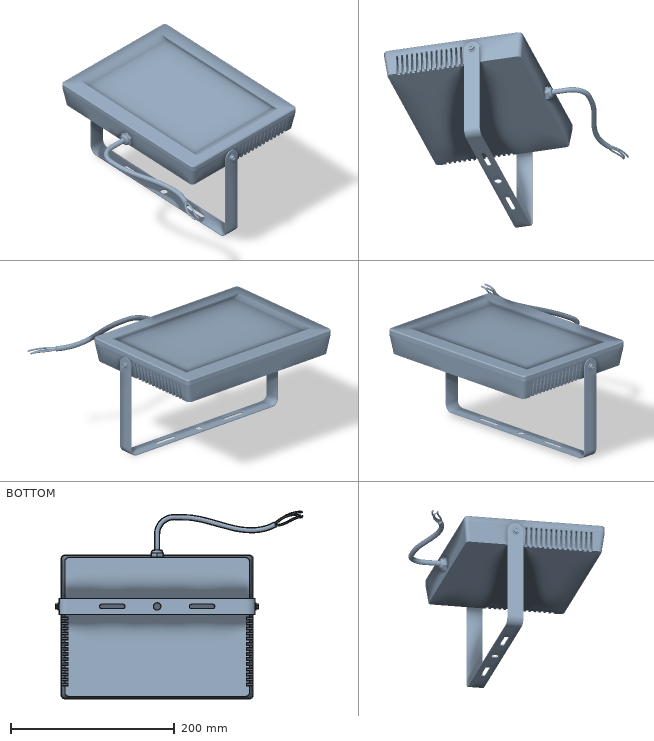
import cadquery as cq
import math


LAMP_LENGTH = 235.5
LAMP_WIDTH = 176.0
LAMP_TOP = 136.5
LID_HEIGHT = 7.0
TUB_HEIGHT = 25.0
TUB_TAPER_X = 4.5
TUB_TAPER_Y = 3.0
CORNER_RADIUS = 4.8
RIM_CHAMFER = 1.2
ROOT_DEPTH = 6.0
LID_BOTTOM = LAMP_TOP - LID_HEIGHT
TUB_BOTTOM = LID_BOTTOM - TUB_HEIGHT

WINDOW_LENGTH = 207.0
WINDOW_WIDTH = 136.0
WINDOW_DEPTH = 3.5
WINDOW_SLOPE_RUN = 9.0

GROOVE_COUNT = 14
GROOVE_ROW_LENGTH = 81.2
GROOVE_PITCH = GROOVE_ROW_LENGTH / (GROOVE_COUNT - 1)
GROOVE_FIRST_Y = 70.5
GROOVE_TOP_WIDTH = 2.5
GROOVE_BOTTOM_WIDTH = 3.5
GROOVE_HEADROOM = 2.5
GROOVE_FOOT_DEPTH = 4.0
GROOVE_TOP = LID_BOTTOM - GROOVE_HEADROOM
GROOVE_FLOOR_X = LAMP_LENGTH / 2 - TUB_TAPER_X - GROOVE_FOOT_DEPTH

BRACKET_SPAN = 240.2
BRACKET_WIDTH = 20.0
BRACKET_THICKNESS = 1.2
BEND_RADIUS = 10.0
MOUNT_HOLE_DIAMETER = 9.0
SLOT_SPACING = 110.0
SLOT_LENGTH = 31.2
SLOT_WIDTH = 5.5

PIVOT_Y = -25.0
PIVOT_DROP = 16.0
PIVOT_Z = LAMP_TOP - PIVOT_DROP
ARM_OUTER_X = BRACKET_SPAN / 2
ARM_INNER_X = ARM_OUTER_X - BRACKET_THICKNESS
BOSS_DIAMETER = 9.7
BOSS_ROOT_X = LAMP_LENGTH / 2 - ROOT_DEPTH
SHANK_DIAMETER = 4.8
WASHER_DIAMETER = 8.2
WASHER_THICKNESS = 1.2
HEAD_DIAMETER = 6.0
HEAD_HEIGHT = 3.0
SOCKET_SIZE = 3.5
SOCKET_DEPTH = 1.8

GLAND_DROP = 20.5
GLAND_Z = LAMP_TOP - GLAND_DROP
NUT_CORNERS = 17.3
NUT_FRONT_Y = -90.5
DOME_DIAMETER = 13.5
DOME_LENGTH = 3.5
DOME_ROUNDING = 2.7
GLAND_ROOT_Y = -LAMP_WIDTH / 2 + ROOT_DEPTH

CABLE_DIAMETER = 6.5
CABLE_BEND_START_Y = -114.0
CABLE_BEND_RADIUS = 20.5
CABLE_TROUGH = (41.0, -134.0)
CABLE_CREST = (112.0, -118.5)
CABLE_END = (144.8, -125.7)
CABLE_END_DIRECTION = (0.87, -0.5)
WIRE_DIAMETER = 2.0
STRAND_DIAMETER = 1.0

WIRES = [
    (0.0, [(144.5, -124.8), (151.2, -125.0), (164.8, -131.2), (171.7, -134.2), (177.2, -134.8)], (178.0, -136.0)),
    (1.2, [(144.5, -126.3), (154.0, -133.5), (164.5, -138.7), (176.3, -141.0)], (178.0, -140.5)),
    (-1.5, [(144.5, -126.3), (154.0, -133.5), (161.5, -136.5), (171.5, -137.5)], (175.5, -136.5)),
]


def rounded_rectangle(length, width):
    """Sketch of a rectangle with the lamp's corner radius."""
    return cq.Sketch().rect(length, width).vertices().fillet(CORNER_RADIUS)


def cylinder_along_x(diameter, x_start, x_end):
    """Solid cylinder on the pivot axis."""
    plane = cq.Workplane("YZ", origin=(x_start, PIVOT_Y, PIVOT_Z))
    return plane.circle(diameter / 2).extrude(x_end - x_start)


def mirrored_pair(shape):
    """The shape together with its copy on the opposite X side."""
    return shape.union(shape.mirror("YZ"))


def make_lid():
    """Flat-sided lid with a bevelled rim and a window recess that slopes at both ends."""
    outline = rounded_rectangle(LAMP_LENGTH, LAMP_WIDTH)
    lid = cq.Workplane("XY", origin=(0, 0, LID_BOTTOM)).placeSketch(outline).extrude(LID_HEIGHT)
    lid = lid.faces(">Z").edges().chamfer(RIM_CHAMFER)
    half_top = WINDOW_LENGTH / 2
    half_floor = half_top - WINDOW_SLOPE_RUN
    floor_z = LAMP_TOP - WINDOW_DEPTH
    window = (
        cq.Workplane("XZ", origin=(0, WINDOW_WIDTH / 2, 0))
        .polyline([
            (-half_top, LAMP_TOP),
            (half_top, LAMP_TOP),
            (half_floor, floor_z),
            (-half_floor, floor_z),
        ])
        .close()
        .extrude(WINDOW_WIDTH)
    )
    return lid.cut(window)


def make_tub():
    """Tapered tub below the lid."""
    upper = rounded_rectangle(LAMP_LENGTH, LAMP_WIDTH)
    lower = rounded_rectangle(LAMP_LENGTH - 2 * TUB_TAPER_X, LAMP_WIDTH - 2 * TUB_TAPER_Y)
    drop = cq.Location(cq.Vector(0, 0, -TUB_HEIGHT))
    plane = cq.Workplane("XY", origin=(0, 0, LID_BOTTOM))
    return plane.placeSketch(upper, lower.moved(drop)).loft(ruled=True)


def make_grooves():
    """Upright grooves that widen downwards and run out through the underside, at both ends."""
    reach = LAMP_LENGTH / 2 - GROOVE_FLOOR_X
    half_top = GROOVE_TOP_WIDTH / 2
    half_bottom = GROOVE_BOTTOM_WIDTH / 2
    grooves = cq.Workplane("XY")
    for index in range(GROOVE_COUNT):
        y = GROOVE_FIRST_Y - index * GROOVE_PITCH
        groove = (
            cq.Workplane("YZ", origin=(GROOVE_FLOOR_X, y, 0))
            .polyline([
                (-half_bottom, TUB_BOTTOM),
                (half_bottom, TUB_BOTTOM),
                (half_top, GROOVE_TOP),
                (-half_top, GROOVE_TOP),
            ])
            .close()
            .extrude(reach)
        )
        grooves.add(mirrored_pair(groove).vals())
    return grooves.combine()


def make_pivots():
    """Boss, shank, washer and socket head on each end of the lamp."""
    washer_x = ARM_OUTER_X + WASHER_THICKNESS
    head_x = washer_x + HEAD_HEIGHT
    socket = (
        cq.Workplane("YZ", origin=(head_x - SOCKET_DEPTH, PIVOT_Y, PIVOT_Z))
        .polygon(6, SOCKET_SIZE)
        .extrude(SOCKET_DEPTH)
    )
    pivot = (
        cylinder_along_x(BOSS_DIAMETER, BOSS_ROOT_X, ARM_INNER_X)
        .union(cylinder_along_x(SHANK_DIAMETER, BOSS_ROOT_X, washer_x))
        .union(cylinder_along_x(WASHER_DIAMETER, ARM_OUTER_X, washer_x))
        .union(cylinder_along_x(HEAD_DIAMETER, washer_x, head_x))
        .cut(socket)
    )
    return mirrored_pair(pivot)


def make_gland():
    """Hexagonal nut with one corner up, and a rounded cap."""
    nut = (
        cq.Workplane("XZ", origin=(0, GLAND_ROOT_Y, GLAND_Z))
        .transformed(rotate=(0, 0, 90))
        .polygon(6, NUT_CORNERS)
        .extrude(GLAND_ROOT_Y - NUT_FRONT_Y)
    )
    dome = (
        cq.Workplane("XZ", origin=(0, NUT_FRONT_Y, GLAND_Z))
        .circle(DOME_DIAMETER / 2)
        .extrude(DOME_LENGTH)
        .faces("<Y")
        .edges()
        .fillet(DOME_ROUNDING)
    )
    return nut.union(dome)


def make_cable():
    """Straight run out of the gland, quarter bend, then a wave."""
    bend_mid = CABLE_BEND_RADIUS * math.sqrt(0.5)
    bend_centre_x = CABLE_BEND_RADIUS
    bend_end = (bend_centre_x, CABLE_BEND_START_Y - CABLE_BEND_RADIUS)
    path = (
        cq.Workplane("XY", origin=(0, 0, GLAND_Z))
        .moveTo(0, NUT_FRONT_Y)
        .lineTo(0, CABLE_BEND_START_Y)
        .threePointArc((bend_centre_x - bend_mid, CABLE_BEND_START_Y - bend_mid), bend_end)
        .spline(
            [CABLE_TROUGH, CABLE_CREST, CABLE_END],
            tangents=[(1, 0), CABLE_END_DIRECTION],
            includeCurrent=True,
        )
    )
    profile = cq.Workplane("XZ", origin=(0, NUT_FRONT_Y, GLAND_Z)).circle(CABLE_DIAMETER / 2)
    return profile.sweep(path)


def make_wire(height, course, strand_tip):
    """One insulated wire with a bare strand at its end."""
    z = GLAND_Z + height
    points = [cq.Vector(x, y, z) for x, y in course]
    curve = cq.Edge.makeSpline(points)
    start_plane = cq.Plane(origin=points[0], normal=curve.tangentAt(0))
    insulation = cq.Workplane(start_plane).circle(WIRE_DIAMETER / 2).sweep(cq.Workplane(curve))
    strand_run = cq.Vector(*strand_tip, z) - points[-1]
    strand_plane = cq.Plane(origin=points[-1], normal=strand_run)
    strand = cq.Workplane(strand_plane).circle(STRAND_DIAMETER / 2).extrude(strand_run.Length)
    return insulation.union(strand)


def make_lamp():
    """Housing with its pivots, gland, cable and wires as one solid."""
    lamp = make_tub().cut(make_grooves()).union(make_lid())
    lamp = lamp.union(make_pivots()).union(make_gland()).union(make_cable())
    for height, course, strand_tip in WIRES:
        lamp = lamp.union(make_wire(height, course, strand_tip))
    return lamp


def make_bracket():
    """U-shaped strap with round arm ends, pivot holes and mounting openings in the foot."""
    arm_top = PIVOT_Z + BRACKET_WIDTH / 2
    inner_radius = BEND_RADIUS - BRACKET_THICKNESS
    plan = cq.Workplane("XY", origin=(0, PIVOT_Y, 0))
    outer = plan.box(BRACKET_SPAN, BRACKET_WIDTH, arm_top, centered=(True, True, False))
    outer = outer.edges("|Y and <Z").fillet(BEND_RADIUS)
    inner = (
        plan.workplane(offset=BRACKET_THICKNESS)
        .box(2 * ARM_INNER_X, BRACKET_WIDTH, arm_top, centered=(True, True, False))
        .edges("|Y and <Z")
        .fillet(inner_radius)
    )
    arm_outline = (
        cq.Workplane("YZ", origin=(-ARM_OUTER_X, PIVOT_Y, PIVOT_Z))
        .moveTo(-BRACKET_WIDTH / 2, -PIVOT_Z)
        .lineTo(-BRACKET_WIDTH / 2, 0)
        .threePointArc((0, BRACKET_WIDTH / 2), (BRACKET_WIDTH / 2, 0))
        .lineTo(BRACKET_WIDTH / 2, -PIVOT_Z)
        .close()
        .extrude(BRACKET_SPAN)
    )
    strap = outer.cut(inner).intersect(arm_outline)
    pivot_holes = cylinder_along_x(SHANK_DIAMETER, -ARM_OUTER_X, ARM_OUTER_X)
    mount_hole = plan.circle(MOUNT_HOLE_DIAMETER / 2).extrude(BRACKET_THICKNESS)
    slots = (
        plan.pushPoints([(-SLOT_SPACING / 2, 0), (SLOT_SPACING / 2, 0)])
        .slot2D(SLOT_LENGTH, SLOT_WIDTH)
        .extrude(BRACKET_THICKNESS)
    )
    return strap.cut(pivot_holes).cut(mount_hole).cut(slots)


lamp = make_lamp()
bracket = make_bracket()
result = cq.Compound.makeCompound([lamp.solids().val(), bracket.solids().val()])